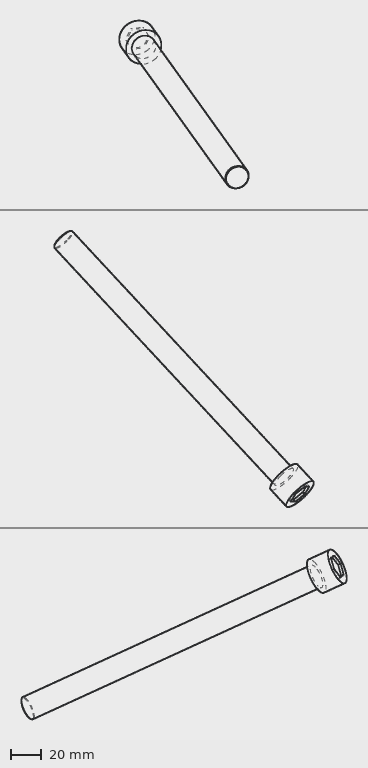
import cadquery as cq
import math

total_length = 236.0
shank_diameter = 16.0
head_diameter = 24.0
head_height = shank_diameter
tip_chamfer = 0.5

socket_across_flats = 14.0
socket_across_corners = socket_across_flats / math.cos(math.radians(30))
socket_depth = 2.0


def make_head():
    return cq.Workplane("YZ").circle(head_diameter / 2).extrude(head_height)


def make_shank():
    shank = cq.Workplane("YZ").circle(shank_diameter / 2).extrude(total_length)
    return shank.faces(">X").chamfer(tip_chamfer)


def make_socket():
    return cq.Workplane("YZ").polygon(6, socket_across_corners).extrude(socket_depth)


result = make_head().union(make_shank()).cut(make_socket())